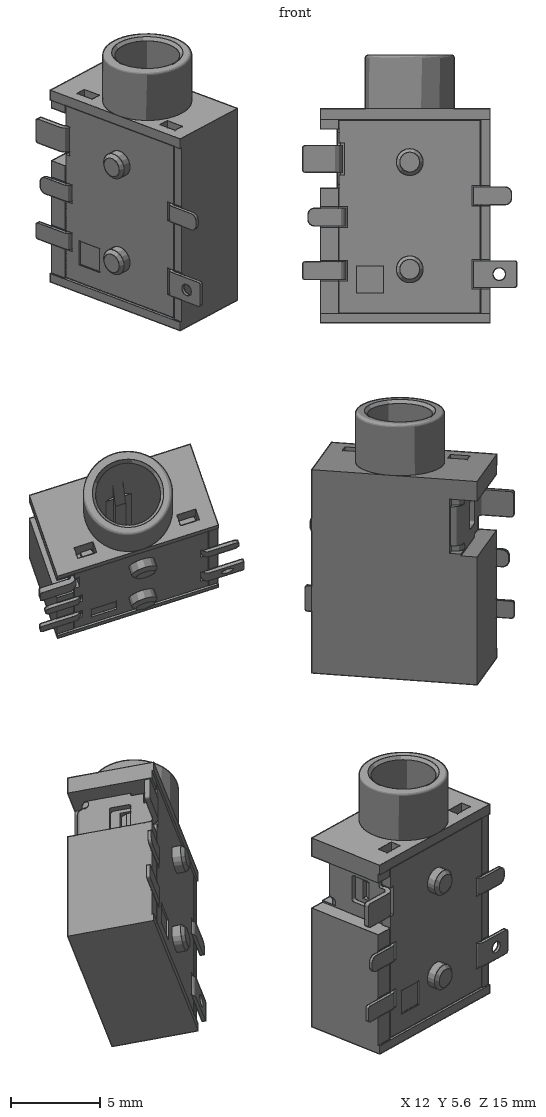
import cadquery as cq
import math


depth = 5.0
left_x = -5.0
right_x = 4.5
housing_top = 12.0
back_y = depth / 2
flange_y = -depth / 2
face_recess = 0.1
face_y = flange_y + face_recess
top_flange = 0.62
bottom_flange = 0.52
panel_left = -3.99
panel_right = 3.98
panel_gap = 0.05
panel_gap_depth = 0.08

total_height = 15.0
sleeve_radius = depth / 2
sleeve_rounding = 0.18
bore_radius = 1.82
bore_mouth_radius = 2.0
bore_floor = 1.8
key_width = 0.6
key_tip_y = 1.3
key_ledge_y = 1.65
key_ledge_top = 11.4
key_slope_y = 1.42
key_slope_bottom = 9.0
key_tip_z = 8.7

peg_heights = (3.0, 9.0)
peg_radius = 0.75
peg_chamfer = 0.2
peg_tip_y = flange_y - 0.6

slot_offset = 3.03
slot_length = 1.11
slot_width = 0.65
slot_y = -1.53
slot_depth = 1.5
blade_spans = ((-3.24, -2.58), (2.52, 3.46))
blade_back_y = -1.28
blade_ridge_y = -1.62
blade_front_y = -1.77
blade_top = 11.1
blade_slope_drop = 0.15

mark_size = 1.5
mark_x = -2.22
mark_z = 2.43
mark_depth = 0.1

tab_front_y = flange_y - 0.05
tab_inner_x = 3.55
tab_bend_radius = 0.39
tab_leg_depth = 0.9
tab_clearance = 0.08
tab_pocket_depth = 0.39
tab_thickness = 0.2
tabs = (
    (-1, 5.7, 5.92, 1.0, 0.38),
    (-1, 6.0, 2.92, 1.0, 0.15),
    (1, 5.7, 7.11, 1.0, 0.38),
    (1, 6.0, 2.73, 1.5, 0.15),
)
tab_hole_x = 5.01
tab_hole_z = 2.73
tab_hole_diameter = 0.69

notch_bottom = 7.55
notch_top = 10.85
contact_z = 9.18
contact_width = 1.5
contact_thickness = 0.3
contact_inner_x = 3.76
contact_bend_radius = 0.54
contact_tip = 6.0
contact_corner = 0.15
contact_slot_width = 1.8
contact_slot_inner_x = -3.66
plate_x = -contact_inner_x - contact_thickness
plate_bend_radius = 0.65
plate_back_y = 2.34
relief_depth = 0.2
shoulder_y = -0.92
shoulder_height = 0.2
neck_y = -1.66
lip_y = -1.78
corner_relief_y = 1.53
corner_relief_height = 0.5
corner_relief_radius = 0.22
corner_roll_radius = 0.5
corner_ledge_height = 0.1
plate_corner_radius = 0.1
window_back_y = 0.33
window_height = 1.65
window_depth = 0.3
window_corner = 0.15
spring_back_y = -0.21
spring_bend_y = -0.55
spring_height = 1.14
spring_back_depth = 0.3
spring_front_depth = 0.12


def box(x0, x1, y0, y1, z0, z1):
    """Block spanning the given limits, in either order along each axis."""
    return (
        cq.Workplane("XY")
        .box(abs(x1 - x0), abs(y1 - y0), abs(z1 - z0))
        .translate(((x0 + x1) / 2, (y0 + y1) / 2, (z0 + z1) / 2))
    )


def bent_tab(side, tip, inner, center_z, width, thickness, corner, bend_radius):
    """Flat tab whose inner end bends back into the housing."""
    front = tab_front_y
    leg_end = front + tab_leg_depth
    tab = (
        cq.Workplane("XY")
        .moveTo(side * tip, front)
        .lineTo(side * inner, front)
        .lineTo(side * inner, leg_end)
        .lineTo(side * (inner + thickness), leg_end)
        .lineTo(side * (inner + thickness), front + thickness)
        .lineTo(side * tip, front + thickness)
        .close()
        .extrude(width)
        .translate((0, 0, center_z - width / 2))
    )
    bend_edge = cq.selectors.NearestToPointSelector((side * inner, front, center_z))
    tab = tab.edges("|Z").edges(bend_edge).fillet(bend_radius)
    inner_edge = cq.selectors.NearestToPointSelector(
        (side * (inner + thickness), front + thickness, center_z)
    )
    tab = tab.edges("|Z").edges(inner_edge).fillet(bend_radius - thickness)
    tip_face = ">X" if side > 0 else "<X"
    return tab.faces(tip_face).edges("|Y").fillet(corner)


def make_housing():
    body = box(left_x, right_x, flange_y, back_y, 0, housing_top)
    panel_top = housing_top - top_flange
    body = body.cut(box(left_x, right_x, flange_y, face_y, bottom_flange, panel_top))
    groove_floor = face_y + panel_gap_depth
    groove = box(panel_left, panel_right, face_y, groove_floor, bottom_flange, panel_top)
    panel = box(
        panel_left + panel_gap,
        panel_right - panel_gap,
        face_y,
        groove_floor,
        bottom_flange + panel_gap,
        panel_top - panel_gap,
    )
    return body.cut(groove.cut(panel))


def make_sleeve():
    return (
        cq.Workplane("XY", origin=(0, 0, housing_top))
        .circle(sleeve_radius)
        .extrude(total_height - housing_top)
        .faces(">Z")
        .edges()
        .fillet(sleeve_rounding)
    )


def make_bore():
    mouth_depth = bore_mouth_radius - bore_radius
    return (
        cq.Workplane("XY", origin=(0, 0, bore_floor))
        .circle(bore_radius)
        .extrude(total_height - bore_floor)
        .union(
            cq.Workplane("XY", origin=(0, 0, total_height))
            .circle(bore_mouth_radius)
            .workplane(offset=-mouth_depth)
            .circle(bore_radius)
            .loft()
        )
    )


def make_bore_key():
    half = key_width / 2
    key = (
        cq.Workplane("YZ", origin=(-half, 0, 0))
        .moveTo(bore_radius, bore_floor)
        .lineTo(bore_radius, key_ledge_top)
        .lineTo(key_slope_y, key_slope_bottom)
        .lineTo(key_tip_y, key_tip_z)
        .lineTo(key_tip_y, bore_floor)
        .close()
        .extrude(key_width)
    )
    ledge = box(-bore_radius, bore_radius, key_ledge_y, bore_radius, bore_floor, key_slope_bottom)
    return key.union(ledge)


def make_peg(height):
    return (
        cq.Workplane("XZ", origin=(0, face_y + 0.15, height))
        .circle(peg_radius)
        .extrude(face_y + 0.15 - peg_tip_y)
        .faces("<Y")
        .chamfer(peg_chamfer)
    )


def make_top_slot(blade_start, blade_end):
    """Slot cutter that leaves a contact blade with a sloped top standing on the slot floor."""
    center_x = math.copysign(slot_offset, blade_start)
    slot_floor = housing_top - slot_depth
    slot = (
        cq.Workplane("XY", origin=(center_x, slot_y, slot_floor))
        .rect(slot_length, slot_width)
        .extrude(slot_depth)
    )
    blade = (
        cq.Workplane("YZ", origin=(blade_start, 0, 0))
        .moveTo(blade_front_y, slot_floor)
        .lineTo(blade_front_y, blade_top)
        .lineTo(blade_ridge_y, blade_top)
        .lineTo(blade_back_y, blade_top - blade_slope_drop)
        .lineTo(blade_back_y, slot_floor)
        .close()
        .extrude(blade_end - blade_start)
    )
    return slot.cut(blade)


def make_tab_pocket(side, center_z, width):
    half = width / 2 + tab_clearance
    low = center_z - half
    high = center_z + half
    side_x = left_x if side < 0 else right_x
    inner_x = side * (tab_inner_x - tab_clearance)
    panel_x = panel_left if side < 0 else panel_right
    groove = box(panel_x, side_x, flange_y, tab_front_y + tab_thickness, low, high)
    pocket = box(inner_x, panel_x, flange_y, face_y + tab_pocket_depth, low, high)
    return groove.union(pocket)


def make_notch():
    """Side opening whose floor is the contact plate, rolled over at its back edge."""
    roll_x = plate_x + plate_bend_radius
    outline = (
        cq.Workplane("XY", origin=(0, 0, notch_bottom))
        .moveTo(left_x, flange_y)
        .lineTo(plate_x, flange_y)
        .lineTo(plate_x, plate_back_y - plate_bend_radius)
        .radiusArc((roll_x, plate_back_y), plate_bend_radius)
        .lineTo(roll_x, back_y)
        .lineTo(left_x, back_y)
        .close()
    )
    return outline.extrude(notch_top - notch_bottom)


def make_corner_relief(end, corner):
    """Round-nosed clearance beside the rolled edge, with a smaller roll as its floor."""
    deep_x = plate_x + plate_bend_radius
    opening = box(plate_x, deep_x, corner_relief_y, back_y, end, corner)
    opening = opening.edges("|X and <Y").fillet(corner_relief_radius)
    roll_back_y = corner_relief_y + corner_roll_radius
    rolled_space = (
        cq.Workplane("XY", origin=(0, 0, min(end, corner)))
        .moveTo(plate_x, corner_relief_y)
        .radiusArc((plate_x + corner_roll_radius, roll_back_y), corner_roll_radius)
        .lineTo(deep_x, roll_back_y)
        .lineTo(deep_x, back_y)
        .lineTo(plate_x, back_y)
        .close()
        .extrude(corner_relief_height)
    )
    return opening.intersect(rolled_space)


def make_plate_reliefs():
    """Clearances around the stepped outline of the contact plate."""
    neck_low = contact_z - contact_width / 2
    neck_high = contact_z + contact_width / 2
    floor_x = plate_x + relief_depth
    reliefs = box(plate_x, panel_left + panel_gap, flange_y, lip_y, notch_bottom, notch_top)
    ends = (
        (notch_bottom, notch_bottom + shoulder_height, neck_low, notch_bottom + corner_relief_height),
        (notch_top, notch_top - shoulder_height, neck_high, notch_top - corner_relief_height),
    )
    for end, shoulder, neck, corner in ends:
        step = box(plate_x, floor_x, shoulder_y, lip_y, end, shoulder)
        step = step.union(box(plate_x, floor_x, neck_y, lip_y, shoulder, neck))
        rounded_corners = ((shoulder_y, shoulder), (neck_y, shoulder), (neck_y, neck))
        for corner_y, corner_z in rounded_corners:
            corner_edge = cq.selectors.NearestToPointSelector(
                ((plate_x + floor_x) / 2, corner_y, corner_z)
            )
            step = step.edges("|X").edges(corner_edge).fillet(plate_corner_radius)
        reliefs = reliefs.union(step)
        reliefs = reliefs.union(make_corner_relief(end, corner))
    return reliefs


def make_contact_slot():
    half = contact_slot_width / 2
    return box(plate_x, contact_slot_inner_x, flange_y, lip_y, contact_z - half, contact_z + half)


def make_window():
    """Opening through the contact plate with a bent spring recess behind it."""
    half = window_height / 2
    floor_x = plate_x + window_depth
    window = box(plate_x, floor_x, shoulder_y, window_back_y, contact_z - half, contact_z + half)
    window = window.edges("|X").fillet(window_corner)
    spring = (
        cq.Workplane("XY", origin=(0, 0, contact_z - spring_height / 2))
        .moveTo(floor_x, spring_back_y)
        .lineTo(floor_x + spring_back_depth, spring_back_y)
        .lineTo(floor_x + spring_front_depth, spring_bend_y)
        .lineTo(floor_x + spring_front_depth, shoulder_y)
        .lineTo(floor_x, shoulder_y)
        .close()
        .extrude(spring_height)
    )
    return window.union(spring)


result = make_housing().union(make_sleeve())
result = result.cut(make_bore()).union(make_bore_key())

for blade_start, blade_end in blade_spans:
    result = result.cut(make_top_slot(blade_start, blade_end))

for peg_height in peg_heights:
    result = result.union(make_peg(peg_height))

half_mark = mark_size / 2
result = result.cut(
    box(
        mark_x - half_mark,
        mark_x + half_mark,
        face_y,
        face_y + mark_depth,
        mark_z - half_mark,
        mark_z + half_mark,
    )
)

for side, tip, center_z, width, corner in tabs:
    result = result.cut(make_tab_pocket(side, center_z, width))
    result = result.union(
        bent_tab(side, tip, tab_inner_x, center_z, width, tab_thickness, corner, tab_bend_radius)
    )

tab_hole = (
    cq.Workplane("XZ", origin=(tab_hole_x, tab_front_y + tab_thickness, tab_hole_z))
    .circle(tab_hole_diameter / 2)
    .extrude(tab_thickness)
)
result = result.cut(tab_hole)

for cutter in (make_notch(), make_plate_reliefs(), make_contact_slot(), make_window()):
    result = result.cut(cutter)

result = result.union(
    bent_tab(
        -1,
        contact_tip,
        contact_inner_x,
        contact_z,
        contact_width,
        contact_thickness,
        contact_corner,
        contact_bend_radius,
    )
)

result = result.union(
    box(
        plate_x,
        plate_x + plate_bend_radius,
        corner_relief_y,
        back_y,
        notch_bottom,
        notch_bottom + corner_ledge_height,
    )
)